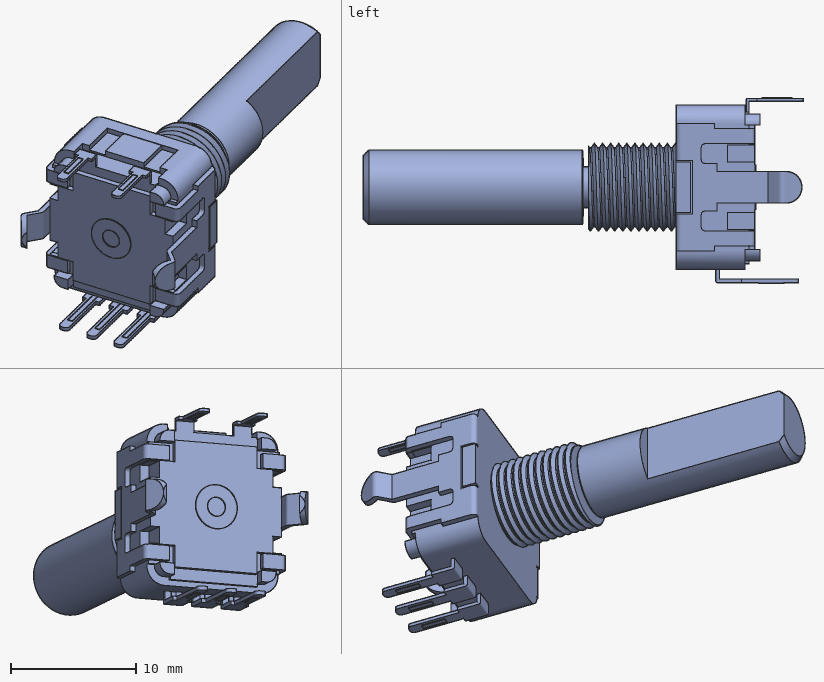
import cadquery as cq
import math


SHAFT_RADIUS = 3.0
SHAFT_TIP_Y = 25.03
SHAFT_START_Y = 7.43
SHAFT_TIP_CHAMFER = 0.45
SHAFT_BASE_CHAMFER = 0.1
FLAT_LENGTH = 12.0
FLAT_X = 1.5
NECK_RADIUS = 1.65
NECK_OVERLAP = 0.35
BUSHING_LENGTH = 7.0
THREAD_RADIUS = 3.52
THREAD_ROOT_RADIUS = 3.17
THREAD_TURNS = 10.8
THREAD_PITCH = BUSHING_LENGTH / THREAD_TURNS
THREAD_WIDTH = 0.65
THREAD_OVERLAP = 0.07
THREAD_PHASE = 0.2

HOUSING_HALF_X = 5.65
HOUSING_HALF_Z = 6.6
HOUSING_CORNER_RADIUS = 1.48
HOUSING_DEPTH = 5.53
BASE_DEPTH = 5.85
BASE_HALF_Z = 4.95
BASE_RIB_HALF_X = 3.75
BASE_RIB_TOP_Z = 6.02
BASE_RIB_BOTTOM_Z = -6.12
BACK_DEPTH = 6.3
BACK_ARM_HALF_X = 3.55
BACK_ARM_HALF_Z = 5.17
BACK_WIDE_HALF_Z = 3.4
BOSS_RADIUS = 1.8
BOSS_BORE_RADIUS = 0.77
BOSS_HEIGHT = 0.1
POST_DEPTH = 6.72
POST_OUTER_X = 5.05
POST_OUTER_Z = 5.88
POST_CORNER_RADIUS = 0.85

WINDOW_HALF_X = 3.25
WINDOW_TOP_Y = -1.23
WINDOW_BOTTOM_Y = -4.15
WINDOW_FLOOR_DROP = 0.42
WINDOW_PAD_HALF_X = 1.75
WINDOW_PAD_DROP = 0.05
WALL_SLOT_HALF_X = 3.87

PLATE_OUTER_X = 6.12
PLATE_HALF_Z = 5.1
PLATE_BEND_RADIUS = 0.42
PLATE_SHOULDER_Y = -3.05
ARM_OUTER_Z = 4.68
ARM_INNER_Z = 3.5
ARM_REACH_X = 4.05
SLOT_TOP_Y = -2.0
SLOT_STEP_Y = -3.27
SLOT_STEP_Z = 1.9
SLOT_CORNER_RADIUS = 0.3
TONGUE_HALF_Z = 2.0
TONGUE_LENGTH = 1.15
TONGUE_GAP = 0.15
POCKET_TOP_Y = -4.12
POCKET_INNER_Z = 2.0
POCKET_OUTER_Z = 3.38
POCKET_FLOOR_X = 4.93
LEG_HALF_Z = 1.25
LEG_BEND_Y = -7.35
LEG_KNEE_X = 7.1
LEG_KNEE_RADIUS = 0.42
LEG_BEND_RADIUS = 0.42
LEG_KNEE_Y = -8.45
LEG_END_X = 6.12
LEG_END_Y = -10.05
LEG_THICKNESS = 0.42

PIN_SPACING = 2.5
PIN_SHOULDER_WIDTH = 1.55
MIDDLE_SHOULDER_WIDTH = 1.65
SHANK_END_ROUNDING = 0.8
PIN_SHANK_WIDTH = 0.88
RIB_WIDTH = 0.42
RIB_HEIGHT = 0.07

ROOT_DEPTH = 0.7
CUT_MARGIN = 0.35


def block(x_range, y_range, z_range):
    """Box between two limits on each axis, in either order."""
    spans = [sorted(limits) for limits in (x_range, y_range, z_range)]
    sizes = [high - low for low, high in spans]
    corner = tuple(low for low, high in spans)
    return cq.Workplane("XY").box(*sizes, centered=False).translate(corner)


def both_sides(shape, plane):
    return shape.union(shape.mirror(plane))


def cylinder(radius, y_start, length):
    """Cylinder on the shaft axis, growing toward +Y."""
    return cq.Workplane("XZ", origin=(0, y_start, 0)).circle(radius).extrude(-length)


def make_shaft():
    shaft = cylinder(SHAFT_RADIUS, SHAFT_START_Y, SHAFT_TIP_Y - SHAFT_START_Y)
    shaft = shaft.faces(">Y").chamfer(SHAFT_TIP_CHAMFER)
    shaft = shaft.faces("<Y").chamfer(SHAFT_BASE_CHAMFER)
    flat_cut = block(
        (FLAT_X, SHAFT_RADIUS + CUT_MARGIN),
        (SHAFT_TIP_Y - FLAT_LENGTH, SHAFT_TIP_Y + CUT_MARGIN),
        (-SHAFT_RADIUS, SHAFT_RADIUS),
    )
    neck = cylinder(NECK_RADIUS, 0, SHAFT_START_Y + NECK_OVERLAP)
    return shaft.cut(flat_cut).union(neck)


def make_bushing():
    """Core with one right-handed sharp ridge, trimmed flush at both ends."""
    start = THREAD_PHASE - THREAD_PITCH
    root = THREAD_ROOT_RADIUS - THREAD_OVERLAP
    helix = cq.Wire.makeHelix(THREAD_PITCH, BUSHING_LENGTH + 2 * THREAD_PITCH, root)
    ridge = (
        cq.Workplane("XZ")
        .moveTo(root, -THREAD_WIDTH / 2)
        .lineTo(THREAD_RADIUS, 0)
        .lineTo(root, THREAD_WIDTH / 2)
        .close()
        .sweep(cq.Workplane(helix), isFrenet=True)
        .rotate((0, 0, 0), (1, 0, 0), -90)
        .translate((0, start, 0))
    )
    core_margin = 2 * THREAD_PITCH
    core = cylinder(THREAD_ROOT_RADIUS, -core_margin, BUSHING_LENGTH + 2 * core_margin)
    limits = cylinder(THREAD_RADIUS + CUT_MARGIN, 0, BUSHING_LENGTH)
    return core.union(ridge, clean=False).intersect(limits, clean=False)


def make_posts():
    """One locating post in each corner of the back, rounded on its outer corner."""
    post = block((BASE_RIB_HALF_X, POST_OUTER_X), (-ROOT_DEPTH, -POST_DEPTH), (BASE_HALF_Z, POST_OUTER_Z))
    post = post.edges("|Y and >X and >Z").fillet(POST_CORNER_RADIUS)
    return both_sides(both_sides(post, "YZ"), "XY")


def cut_wall_openings(housing):
    """Window with a raised pad, and the open slot behind it, in the +Z wall."""
    outside_z = HOUSING_HALF_Z + CUT_MARGIN
    window_y = (WINDOW_TOP_Y, WINDOW_BOTTOM_Y)
    floor_z = HOUSING_HALF_Z - WINDOW_FLOOR_DROP
    pad_z = HOUSING_HALF_Z - WINDOW_PAD_DROP
    window = block((-WINDOW_HALF_X, WINDOW_HALF_X), window_y, (floor_z, outside_z))
    pad = block((-WINDOW_PAD_HALF_X, WINDOW_PAD_HALF_X), window_y, (floor_z, pad_z))
    slot = block(
        (-WALL_SLOT_HALF_X, WALL_SLOT_HALF_X),
        (WINDOW_BOTTOM_Y, -BACK_DEPTH),
        (BASE_RIB_TOP_Z, outside_z),
    )
    return housing.cut(window.cut(pad)).cut(slot)


def make_housing():
    shell = block(
        (-HOUSING_HALF_X, HOUSING_HALF_X), (0, -HOUSING_DEPTH), (-HOUSING_HALF_Z, HOUSING_HALF_Z)
    )
    shell = shell.edges("|Y").fillet(HOUSING_CORNER_RADIUS)
    base_y = (-ROOT_DEPTH, -BASE_DEPTH)
    back_y = (-ROOT_DEPTH, -BACK_DEPTH)
    layers = [
        block((-HOUSING_HALF_X, HOUSING_HALF_X), base_y, (-BASE_HALF_Z, BASE_HALF_Z)),
        block((-BASE_RIB_HALF_X, BASE_RIB_HALF_X), base_y, (BASE_RIB_BOTTOM_Z, BASE_RIB_TOP_Z)),
        block((-HOUSING_HALF_X, HOUSING_HALF_X), back_y, (-BACK_WIDE_HALF_Z, BACK_WIDE_HALF_Z)),
        block((-BACK_ARM_HALF_X, BACK_ARM_HALF_X), back_y, (-BACK_ARM_HALF_Z, BACK_ARM_HALF_Z)),
    ]
    housing = shell
    for layer in layers:
        housing = housing.union(layer)
    housing = cut_wall_openings(housing)
    boss = cylinder(BOSS_RADIUS, -BACK_DEPTH - BOSS_HEIGHT, BOSS_HEIGHT)
    boss = boss.cut(cylinder(BOSS_BORE_RADIUS, -BACK_DEPTH - BOSS_HEIGHT, BOSS_HEIGHT))
    pocket = block(
        (POCKET_FLOOR_X, HOUSING_HALF_X),
        (POCKET_TOP_Y, -BACK_DEPTH),
        (POCKET_INNER_Z, POCKET_OUTER_Z),
    )
    pockets = both_sides(both_sides(pocket, "YZ"), "XY")
    return housing.cut(pockets).union(boss).union(make_posts())


def make_plate_slot():
    """Stepped opening between one arm and the leg of the +X plate."""
    plate_x = (HOUSING_HALF_X, PLATE_OUTER_X)
    slot = block(plate_x, (SLOT_TOP_Y, -BACK_DEPTH), (SLOT_STEP_Z, ARM_INNER_Z))
    slot = slot.edges("|X and >Y").fillet(SLOT_CORNER_RADIUS)
    step = block(plate_x, (SLOT_STEP_Y, -BACK_DEPTH), (LEG_HALF_Z, ARM_INNER_Z))
    return slot.union(step)


def make_leg():
    """Snap-in leg kinked outward at the knee, with a round end."""
    diagonal = math.atan2(LEG_BEND_Y - LEG_KNEE_Y, LEG_KNEE_X - PLATE_OUTER_X)
    return_angle = math.atan2(LEG_KNEE_Y - LEG_END_Y, LEG_KNEE_X - LEG_END_X)
    knee_offset = LEG_THICKNESS / math.sin((diagonal + return_angle) / 2)
    knee_tilt = (diagonal - return_angle) / 2
    inner_knee_x = LEG_KNEE_X - knee_offset * math.cos(knee_tilt)
    inner_knee_y = LEG_KNEE_Y - knee_offset * math.sin(knee_tilt)
    inner_end_x = LEG_END_X - LEG_THICKNESS * math.sin(return_angle)
    inner_end_y = LEG_END_Y + LEG_THICKNESS * math.cos(return_angle)
    inner_bend_y = inner_knee_y + (inner_knee_x - HOUSING_HALF_X) * math.tan(diagonal)
    strip = (
        cq.Workplane("XY", origin=(0, 0, -LEG_HALF_Z))
        .moveTo(HOUSING_HALF_X, SLOT_STEP_Y)
        .lineTo(PLATE_OUTER_X, SLOT_STEP_Y)
        .lineTo(PLATE_OUTER_X, LEG_BEND_Y)
        .lineTo(LEG_KNEE_X, LEG_KNEE_Y)
        .lineTo(LEG_END_X, LEG_END_Y)
        .lineTo(inner_end_x, inner_end_y)
        .lineTo(inner_knee_x, inner_knee_y)
        .lineTo(HOUSING_HALF_X, inner_bend_y)
        .close()
        .extrude(2 * LEG_HALF_Z)
        .edges("|Z and >X")
        .fillet(LEG_KNEE_RADIUS)
        .edges(cq.selectors.NearestToPointSelector((HOUSING_HALF_X, inner_bend_y, 0)))
        .fillet(LEG_BEND_RADIUS)
    )
    arc_start_y = LEG_END_Y + LEG_HALF_Z
    silhouette = (
        cq.Workplane("YZ", origin=(ARM_REACH_X, 0, 0))
        .moveTo(SLOT_STEP_Y, -LEG_HALF_Z)
        .lineTo(arc_start_y, -LEG_HALF_Z)
        .threePointArc((LEG_END_Y, 0), (arc_start_y, LEG_HALF_Z))
        .lineTo(SLOT_STEP_Y, LEG_HALF_Z)
        .close()
        .extrude(LEG_KNEE_X)
    )
    return strip.intersect(silhouette)


def make_side_plate():
    """Plate on the +X side of the housing."""
    plate_x = (HOUSING_HALF_X, PLATE_OUTER_X)
    upper = block(plate_x, (0, PLATE_SHOULDER_Y), (-PLATE_HALF_Z, PLATE_HALF_Z))
    upper = upper.edges("|Z and >X and >Y").fillet(PLATE_BEND_RADIUS)
    lower = block(plate_x, (PLATE_SHOULDER_Y, -BACK_DEPTH), (-ARM_OUTER_Z, ARM_OUTER_Z))
    fold = block((ARM_REACH_X, PLATE_OUTER_X), (-BASE_DEPTH, -BACK_DEPTH), (ARM_INNER_Z, ARM_OUTER_Z))
    folds = both_sides(fold, "XY")
    plate = upper.union(lower).cut(both_sides(make_plate_slot(), "XY")).union(folds)
    plate = plate.edges("|Z and >X and <Y").fillet(PLATE_BEND_RADIUS)
    tongue = block(plate_x, (0, -TONGUE_LENGTH), (-TONGUE_HALF_Z, TONGUE_HALF_Z))
    notch_half_z = TONGUE_HALF_Z + TONGUE_GAP
    notch = block(plate_x, (0, -TONGUE_LENGTH - TONGUE_GAP), (-notch_half_z, notch_half_z))
    return plate.cut(notch).union(tongue).union(make_leg())


def make_pin(root_z, outer_z, bend_y, end_y, thickness, shoulder_width, shoulder_end_y, rib_y, groove_y):
    """L-shaped terminal on the +Z side with a rib outside and a groove inside its shank."""
    half_shoulder = shoulder_width / 2
    half_shank = PIN_SHANK_WIDTH / 2
    half_rib = RIB_WIDTH / 2
    inner_z = outer_z - thickness
    riser = block((-half_shoulder, half_shoulder), (bend_y, bend_y - thickness), (root_z, outer_z))
    wide_part = block((-half_shoulder, half_shoulder), (bend_y, shoulder_end_y), (inner_z, outer_z))
    shank = block((-half_shank, half_shank), (bend_y, end_y), (inner_z, outer_z))
    shank = shank.edges("|Z and <Y").fillet(SHANK_END_ROUNDING * half_shank)
    pin = riser.union(wide_part).union(shank)
    pin = pin.edges("|X and >Y and >Z").fillet(thickness / 2)
    rib = block((-half_rib, half_rib), rib_y, (inner_z + RIB_HEIGHT, outer_z + RIB_HEIGHT))
    groove = block((-half_rib, half_rib), groove_y, (inner_z, inner_z + RIB_HEIGHT))
    return pin.cut(groove).union(rib)


def make_switch_pins():
    """Two terminals on the +Z side, rising from the back of the housing."""
    rib_y = (-6.85, -9.25)
    pin = make_pin(
        root_z=BASE_RIB_TOP_Z - ROOT_DEPTH,
        outer_z=7.1,
        bend_y=-5.6,
        end_y=-10.17,
        thickness=0.25,
        shoulder_width=PIN_SHOULDER_WIDTH,
        shoulder_end_y=-6.48,
        rib_y=rib_y,
        groove_y=rib_y,
    )
    return both_sides(pin.translate((PIN_SPACING, 0, 0)), "YZ")


def make_encoder_pins():
    """Three terminals on the -Z side, each with a grooved riser leaving the wall."""
    bend_y = -3.17
    outer_z = 7.65
    thickness = 0.3
    rib_end_y = -8.62
    riser_back_y = bend_y - thickness
    riser_groove = block(
        (-RIB_WIDTH / 2, RIB_WIDTH / 2),
        (riser_back_y, riser_back_y + RIB_HEIGHT),
        (HOUSING_HALF_Z, outer_z - thickness),
    )
    side_and_width = (
        (-1, PIN_SHOULDER_WIDTH),
        (0, MIDDLE_SHOULDER_WIDTH),
        (1, PIN_SHOULDER_WIDTH),
    )
    pins = cq.Workplane("XY")
    for side, shoulder_width in side_and_width:
        pin = make_pin(
            root_z=HOUSING_HALF_Z - ROOT_DEPTH,
            outer_z=outer_z,
            bend_y=bend_y,
            end_y=-9.8,
            thickness=thickness,
            shoulder_width=shoulder_width,
            shoulder_end_y=-5.2,
            rib_y=(-6.6, rib_end_y),
            groove_y=(riser_back_y, rib_end_y),
        )
        pin = pin.cut(riser_groove)
        pins = pins.union(pin.mirror("XY").translate((side * PIN_SPACING, 0, 0)))
    return pins


result = (
    make_housing()
    .union(both_sides(make_side_plate(), "YZ"))
    .union(make_switch_pins())
    .union(make_encoder_pins())
    .union(make_bushing())
    .union(make_shaft())
)